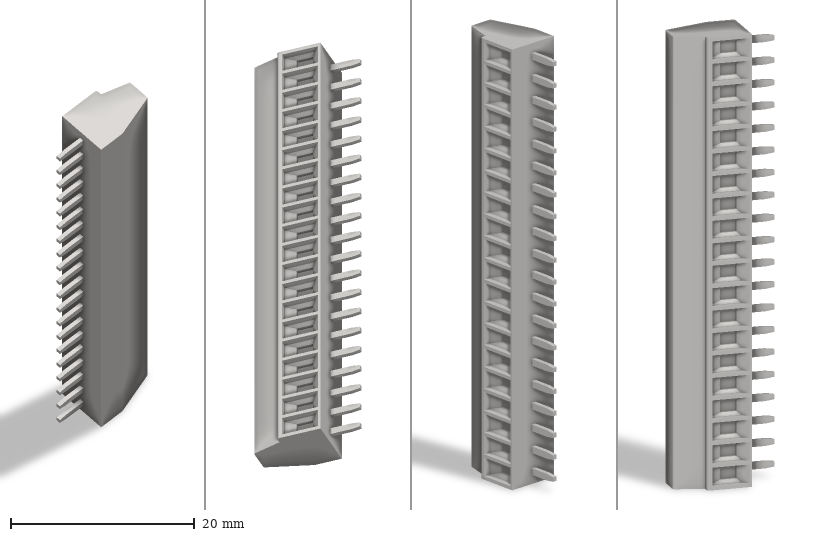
import cadquery as cq


poles = 20
housing_height = 51.25
end_margin = 1.5
pitch = (housing_height - 2 * end_margin) / (poles - 1)

housing_width = 6.2
housing_depth = 8.5
back_left_x = -1.4
back_right_x = 1.45
right_shoulder_y = 3.2
step_y = 5.15
step_inner_x = -2.35
step_edge_radius = 0.3
back_edge_radius = 0.2
left_x = -housing_width / 2
right_x = housing_width / 2

pocket_low_y = 0.25
pocket_high_y = 4.5
pocket_height = 2.15
mouth_depth = 0.8
funnel_depth = 0.385
hole_low_y = 1.4
hole_depth = 0.4
hole_high_y = 3.3
hole_height = 1.45

pin_thickness = 0.5
pin_height = 0.75
pin_length = 3.5
pin_tip_length = 1.0
pin_tip_height = 0.5

pole_heights = [(i - (poles - 1) / 2) * pitch for i in range(poles)]


def make_housing():
    """Constant profile along Z, with a rounded step on the wire side and rounded back edges."""
    profile = [
        (left_x, 0),
        (right_x, 0),
        (right_x, right_shoulder_y),
        (back_right_x, housing_depth),
        (back_left_x, housing_depth),
        (step_inner_x, step_y),
        (left_x, step_y),
    ]
    body = (
        cq.Workplane("XY")
        .polyline(profile)
        .close()
        .extrude(housing_height)
        .translate((0, 0, -housing_height / 2))
    )
    outer_edge = cq.selectors.NearestToPointSelector((left_x, step_y, 0))
    body = body.edges(outer_edge).fillet(step_edge_radius)
    return body.faces(">Y").edges("|Z").fillet(back_edge_radius)


def rectangle_at(x, low_y, high_y, height):
    """Rectangular wire in the plane at x, centred on Z = 0."""
    half = height / 2
    corners = [(low_y, -half), (high_y, -half), (high_y, half), (low_y, half)]
    return cq.Wire.makePolygon([cq.Vector(x, y, z) for y, z in corners], close=True)


def block(x, depth, low_y, high_y, height):
    """Box running inward from the plane at x, centred on Z = 0."""
    return cq.Solid.extrudeLinear(rectangle_at(x, low_y, high_y, height), [], cq.Vector(depth, 0, 0))


def make_pocket():
    """Mouth, tapered funnel and shallow hole in line; the low-Y side slopes down to the hole."""
    funnel_x = left_x + mouth_depth
    hole_x = funnel_x + funnel_depth
    mouth = block(left_x, mouth_depth, pocket_low_y, pocket_high_y, pocket_height)
    funnel = cq.Solid.makeLoft([
        rectangle_at(funnel_x, pocket_low_y, pocket_high_y, pocket_height),
        rectangle_at(hole_x, pocket_low_y, hole_high_y, hole_height),
    ], True)
    hole = block(hole_x, hole_depth, hole_low_y, hole_high_y, hole_height)
    slope = (
        cq.Workplane("XY")
        .polyline([(left_x, pocket_low_y), (hole_x, pocket_low_y), (hole_x, hole_low_y)])
        .close()
        .extrude(pocket_height / 2, both=True)
    )
    return cq.Workplane(mouth).union(cq.Workplane(funnel)).cut(slope).union(cq.Workplane(hole))


def make_pin():
    """Flat pin pointing to -Y, tapered in height at its tip."""
    half = pin_height / 2
    tip_half = pin_tip_height / 2
    taper_y = pin_tip_length - pin_length
    outline = [
        (0, -half),
        (taper_y, -half),
        (-pin_length, -tip_half),
        (-pin_length, tip_half),
        (taper_y, half),
        (0, half),
    ]
    return cq.Workplane("YZ").polyline(outline).close().extrude(pin_thickness / 2, both=True)


result = make_housing()
pocket = make_pocket()
pin = make_pin()
for z in pole_heights:
    result = result.cut(pocket.translate((0, 0, z)))
    result = result.union(pin.translate((0, 0, z)))